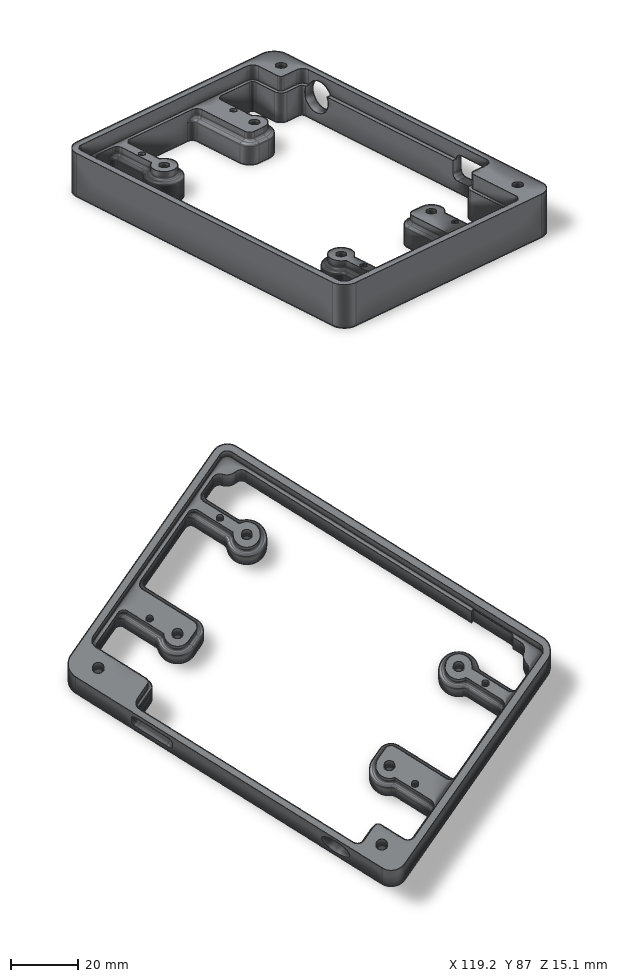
import cadquery as cq
import math

length = 119.2
width = 87.0
height = 15.1
outer_radius = 5.0
bottom_chamfer = 0.5

wall = 2.3
rear_wall = 2.0
ledge_overhang = 1.2
ledge_inset = wall + ledge_overhang
ledge_z = 10.1
upper_corner_radius = 2.5
lower_corner_radius = 1.3

left_block_length = 14.2
right_block_length = 24.1
block_width = 11.2
block_radius = 1.4

lug_radius = 4.2
lug_inset = 0.7
lug_blend = 2.5

boss_inset = 21.8
boss_radius = 6.0
front_boss_y = -23.5
rear_boss_y = 14.0
arm_half_width = 3.6
rear_arm_top = 4.2
rear_arm_bottom = 7.9
rear_arm_radius = 4.0
root_radius = 2.0
boss_blend = 2.0
plateau_blend = 0.5
arm_offset = 1.9
step_fillet = 0.9
step_z = 7.2

edge_tolerance = 0.06

corner_hole_diameter = 3.5
corner_hole_inset_x = 9.1
corner_hole_inset_y = 6.1
boss_hole_diameter = 3.2
blind_depth = 6.0
pin_hole_diameter = 2.1
pin_hole_inset = 12.3
rear_pin_offset = 0.6

port_z = 8.0
round_port_x = -38.2
round_port_diameter = 10.0
slot_port_x = 27.4
slot_port_length = 14.5
slot_port_height = 8.1
slot_port_radius = 2.0
slot_port_depth = 14.3

relief_x = -38.9
relief_length = 14.8
relief_wall = 2.6
relief_radius = 1.2


def slab(x0, x1, y0, y1, z0, z1):
    """Axis-aligned block between two corners."""
    return cq.Workplane("XY").box(x1 - x0, y1 - y0, z1 - z0, centered=False).translate((x0, y0, z0))


def cylinder(x, y, radius, z0, z1):
    return cq.Workplane("XY", origin=(x, y, z0)).circle(radius).extrude(z1 - z0)


def fillet_vertical(body, x, y, radius):
    """Round the vertical edge that stands at (x, y)."""
    low = (x - edge_tolerance, y - edge_tolerance, 0)
    high = (x + edge_tolerance, y + edge_tolerance, height)
    box = cq.selectors.BoxSelector(low, high)
    return body.edges("|Z").edges(box).fillet(radius)


def interior(inset, rear_inset, z0, z1, concave_radius, convex_radius):
    """Frame interior at the given wall insets, notched by the two rear corner blocks."""
    half_x = length / 2 - inset
    front_y = -width / 2 + inset
    rear_y = width / 2 - rear_inset
    left_x = -length / 2 + left_block_length + (inset - wall)
    right_x = length / 2 - right_block_length - (inset - wall)
    notch_y = width / 2 - block_width - (inset - wall)
    space = slab(-half_x, half_x, front_y, notch_y, z0, z1)
    space = space.union(slab(left_x, right_x, front_y, rear_y, z0, z1))
    for x in (left_x, right_x):
        space = fillet_vertical(space, x, notch_y, convex_radius)
        space = fillet_vertical(space, x, rear_y, concave_radius)
    for x in (-half_x, half_x):
        space = fillet_vertical(space, x, front_y, concave_radius)
        space = fillet_vertical(space, x, notch_y, concave_radius)
    return space


def arm_layer(boss_y, bar_top, bar_bottom, margin, blend, z0, z1):
    """One layer of a left-hand arm, its side faces drawn in by margin and its root flared into the wall.

    A bar that reaches below the boss turns up to it round a corner; otherwise the boss stands alone.
    """
    side_x = -length / 2 + ledge_inset
    boss_x = -length / 2 + boss_inset
    radius = boss_radius - margin
    top = boss_y + bar_top - margin
    bottom = boss_y - bar_bottom + margin
    layer = cylinder(boss_x, boss_y, radius, z0, z1)
    layer = layer.union(slab(side_x - ledge_overhang, boss_x, bottom, top, z0, z1))
    if bar_bottom > boss_radius:
        end = slab(boss_x, boss_x + radius, bottom, boss_y, z0, z1)
        end = fillet_vertical(end, boss_x + radius, bottom, rear_arm_radius - margin)
        layer = layer.union(end)
    root_reach = 2 * root_radius
    layer = layer.union(
        slab(side_x - ledge_overhang, side_x, bottom - root_reach, top + root_reach, z0, z1)
    )
    layer = fillet_vertical(layer, side_x, top, root_radius)
    layer = fillet_vertical(layer, side_x, bottom, root_radius)

    def neck_x(y):
        return boss_x - math.sqrt(radius**2 - (y - boss_y) ** 2)

    layer = fillet_vertical(layer, neck_x(top), top, blend)
    if bar_bottom < boss_radius:
        layer = fillet_vertical(layer, neck_x(bottom), bottom, blend)
    return layer


def arm(boss_y, bar_top, bar_bottom):
    """Left-hand arm: a broad base whose rounded rim sweeps up to a narrower plateau level with the ledge."""
    root_end_x = -length / 2 + ledge_inset + root_radius

    def past_root(edges):
        return [edge for edge in edges if edge.Center().x > root_end_x - edge_tolerance]

    base = arm_layer(boss_y, bar_top, bar_bottom, 0, boss_blend, 0, step_z)
    rim = past_root(base.faces(">Z").edges().vals())
    base = base.newObject(rim).fillet(step_fillet)

    plateau = arm_layer(boss_y, bar_top, bar_bottom, arm_offset, plateau_blend, 0, ledge_z)
    body = base.union(plateau)
    foot = []
    for face in body.faces().vals():
        box = face.BoundingBox()
        if abs(box.zmin - step_z) < edge_tolerance and abs(box.zmax - ledge_z) < edge_tolerance:
            foot += cq.Workplane(face).edges("<Z").vals()
    return body.newObject(past_root(foot)).fillet(step_fillet)


def front_lug():
    """Left-hand front corner lug, blended into both ledges."""
    corner_x = -length / 2 + ledge_inset
    corner_y = -width / 2 + ledge_inset
    back_x = corner_x - ledge_overhang
    back_y = corner_y - ledge_overhang
    reach = 3 * lug_radius
    lug = cylinder(corner_x + lug_inset, corner_y + lug_inset, lug_radius, 0, ledge_z)
    lug = lug.intersect(slab(back_x, corner_x + reach, back_y, corner_y + reach, 0, ledge_z))
    lug = lug.union(slab(back_x, corner_x, back_y, corner_y + reach, 0, ledge_z))
    lug = lug.union(slab(back_x, corner_x + reach, back_y, corner_y, 0, ledge_z))
    span = lug_inset + math.sqrt(lug_radius**2 - lug_inset**2)
    lug = fillet_vertical(lug, corner_x, corner_y + span, lug_blend)
    return fillet_vertical(lug, corner_x + span, corner_y, lug_blend)


def both_sides(body):
    """A left-hand feature together with its mirror image on the right."""
    return body.union(body.mirror("YZ"))


def vertical_holes():
    """Left-hand blind screw holes and through pin holes."""
    boss_x = -length / 2 + boss_inset
    corner_x = -length / 2 + corner_hole_inset_x
    corner_y = width / 2 - corner_hole_inset_y
    pin_x = -length / 2 + pin_hole_inset
    holes = cylinder(corner_x, corner_y, corner_hole_diameter / 2, height - blind_depth, height)
    for boss_y in (front_boss_y, rear_boss_y):
        holes = holes.union(cylinder(boss_x, boss_y, boss_hole_diameter / 2, ledge_z - blind_depth, ledge_z))
    for pin_y in (front_boss_y, rear_boss_y + rear_pin_offset):
        holes = holes.union(cylinder(pin_x, pin_y, pin_hole_diameter / 2, 0, ledge_z))
    return holes


def rear_ports():
    """Round and slotted openings; the slot runs on to groove the side of the right-hand corner block."""
    rear_plane = cq.Workplane("XZ", origin=(0, width / 2, port_z))
    round_port = rear_plane.center(round_port_x, 0).circle(round_port_diameter / 2).extrude(ledge_inset)
    slot_port = rear_plane.center(slot_port_x, 0).rect(slot_port_length, slot_port_height)
    slot_port = slot_port.extrude(slot_port_depth).edges("|Y").fillet(slot_port_radius)
    return round_port.union(slot_port)


def front_relief():
    """Notch that thins the front ledge down to the wall."""
    y0 = -width / 2 + relief_wall
    y1 = -width / 2 + wall + 2 * ledge_overhang
    notch = slab(relief_x - relief_length / 2, relief_x + relief_length / 2, y0, y1, 0, ledge_z)
    return notch.edges("|Z and <X and <Y").fillet(relief_radius)


body = cq.Workplane("XY").box(length, width, height, centered=(True, True, False))
body = body.edges("|Z").fillet(outer_radius)
body = body.faces("<Z").edges().chamfer(bottom_chamfer)
body = body.cut(interior(wall, rear_wall, ledge_z, height, upper_corner_radius, block_radius))
body = body.cut(
    interior(ledge_inset, ledge_inset, 0, ledge_z, lower_corner_radius, block_radius + ledge_overhang)
)
body = body.union(both_sides(front_lug()))
body = body.union(both_sides(arm(front_boss_y, arm_half_width, arm_half_width)))
body = body.union(both_sides(arm(rear_boss_y, rear_arm_top, rear_arm_bottom)))
body = body.cut(both_sides(vertical_holes()))
body = body.cut(rear_ports())
result = body.cut(front_relief())